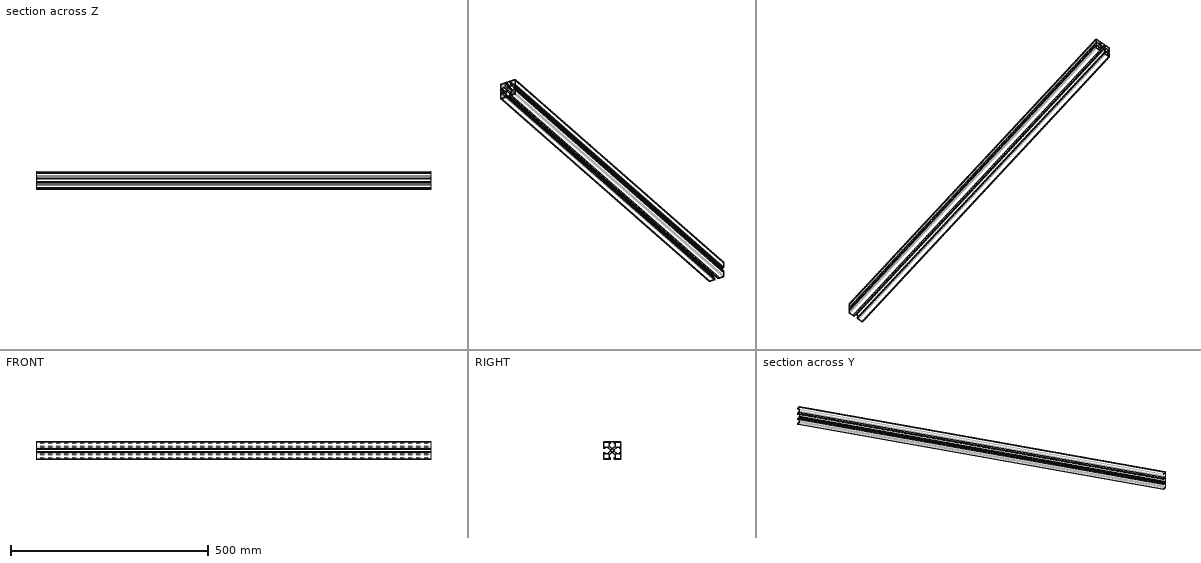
import cadquery as cq

LENGTH = 1000.0
SIDE = 45.0
OUTER_CORNER_RADIUS = 2.5
CORE_BORE_DIAMETER = 6.78

SLOT_FLOOR_HEIGHT = 6.3
SLOT_FLOOR_HALF_WIDTH = 2.5
SLOT_HALF_WIDTH = 7.5
LIP_THICKNESS = 4.5
THROAT_HALF_WIDTH = 4.5
MOUTH_HALF_WIDTH = 5.0
MOUTH_DEPTH = 2.0
CLOSED_SLOT_WALL = 1.5

WEB_THICKNESS = 1.3
OUTER_WALL = 2.0
POCKET_CORNER_RADIUS = 0.5

HALF_SIDE = SIDE / 2
LIP_INNER_HEIGHT = HALF_SIDE - LIP_THICKNESS
TAPER_TOP_HEIGHT = SLOT_FLOOR_HEIGHT + SLOT_HALF_WIDTH - SLOT_FLOOR_HALF_WIDTH
MOUTH_HEIGHT = HALF_SIDE - MOUTH_DEPTH
THROAT_TOP_HEIGHT = MOUTH_HEIGHT - (MOUTH_HALF_WIDTH - THROAT_HALF_WIDTH)
POCKET_INNER = SLOT_HALF_WIDTH + WEB_THICKNESS
POCKET_OUTER = HALF_SIDE - OUTER_WALL
POCKET_SIZE = POCKET_OUTER - POCKET_INNER
POCKET_SPACING = POCKET_OUTER + POCKET_INNER


def profile_plane():
    """Cross-section plane at the -X end: local x is +Y, local y is +Z."""
    return cq.Workplane("YZ").workplane(offset=-LENGTH / 2)


def outer_bar():
    bar = profile_plane().rect(SIDE, SIDE).extrude(LENGTH)
    return bar.edges("|X").fillet(OUTER_CORNER_RADIUS)


def slot(top_height):
    """T-slot on the +Z side, from the core out to top_height."""
    half_outline = [
        (SLOT_FLOOR_HALF_WIDTH, SLOT_FLOOR_HEIGHT),
        (SLOT_HALF_WIDTH, TAPER_TOP_HEIGHT),
        (SLOT_HALF_WIDTH, LIP_INNER_HEIGHT),
        (THROAT_HALF_WIDTH, LIP_INNER_HEIGHT),
        (THROAT_HALF_WIDTH, THROAT_TOP_HEIGHT),
        (MOUTH_HALF_WIDTH, MOUTH_HEIGHT),
        (MOUTH_HALF_WIDTH, top_height),
    ]
    mirrored = [(-y, z) for y, z in reversed(half_outline)]
    return profile_plane().polyline(half_outline + mirrored).close().extrude(LENGTH)


def corner_pockets():
    pockets = (
        profile_plane()
        .rect(POCKET_SPACING, POCKET_SPACING, forConstruction=True)
        .vertices()
        .rect(POCKET_SIZE, POCKET_SIZE)
        .extrude(LENGTH)
    )
    return pockets.edges("|X").fillet(POCKET_CORNER_RADIUS)


def core_bore():
    return profile_plane().circle(CORE_BORE_DIAMETER / 2).extrude(LENGTH)


def turned(body, quarter_turns):
    """Turn a body about X; successive quarter turns take +Z to -Y, -Z and +Y."""
    return body.rotate((0, 0, 0), (1, 0, 0), 90 * quarter_turns)


result = outer_bar().cut(corner_pockets()).cut(core_bore())

open_slot = slot(HALF_SIDE)
for quarter_turns in (1, 2):
    result = result.cut(turned(open_slot, quarter_turns))

closed_slot = slot(HALF_SIDE - CLOSED_SLOT_WALL)
for quarter_turns in (0, 3):
    result = result.cut(turned(closed_slot, quarter_turns))